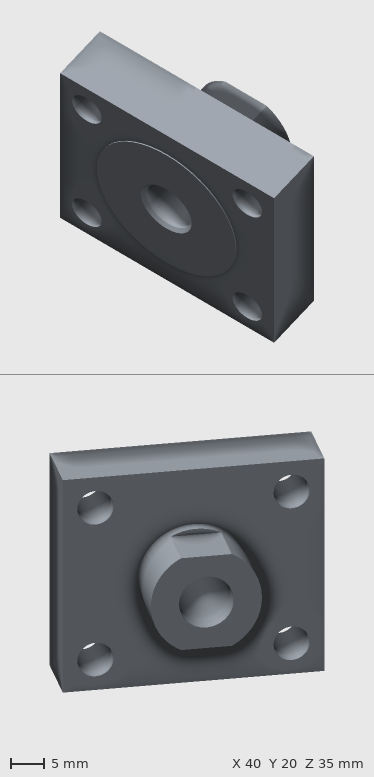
import cadquery as cq

flange_width = 40.0
flange_height = 35.0
flange_thickness = 10.0

seat_diameter = 26.0
seat_height = 0.2

overall_depth = 20.0
stub_diameter = 17.0
stub_length = overall_depth - flange_thickness - seat_height
across_flats = 15.1
flat_length = 8.0

bore_diameter = 8.35
bore_chamfer = 0.55
mount_hole_diameter = 5.5
mount_spacing_x = 30.0
mount_spacing_z = 25.0


def cylinder_along_y(diameter, start_y, length):
    """Cylinder on the part axis, running toward +Y from start_y."""
    axis_start = cq.Vector(0, start_y, 0)
    return cq.Workplane(cq.Solid.makeCylinder(diameter / 2, length, axis_start, cq.Vector(0, 1, 0)))


def make_flange():
    """Plate with its front face on Y = 0 and four mounting holes."""
    plate = cq.Workplane("XY").box(
        flange_width, flange_thickness, flange_height, centered=(True, False, True)
    )
    return (
        plate.faces("<Y")
        .workplane(centerOption="CenterOfBoundBox")
        .rarray(mount_spacing_x, mount_spacing_z, 2, 2)
        .hole(mount_hole_diameter)
    )


def make_stub():
    """Round stub whose free end is trimmed to flats at top and bottom."""
    collar_length = stub_length - flat_length
    collar = cylinder_along_y(stub_diameter, flange_thickness, collar_length)
    flats_start = flange_thickness + collar_length
    flats_envelope = (
        cq.Workplane("XY")
        .box(stub_diameter, flat_length, across_flats, centered=(True, False, True))
        .translate((0, flats_start, 0))
    )
    flatted_end = cylinder_along_y(stub_diameter, flats_start, flat_length).intersect(flats_envelope)
    return collar.union(flatted_end)


def make_bore():
    """Through bore with a 45 degree chamfer at its front mouth."""
    bore = cylinder_along_y(bore_diameter, -seat_height, overall_depth)
    bore_radius = bore_diameter / 2
    mouth = cq.Solid.makeCone(
        bore_radius + bore_chamfer,
        bore_radius,
        bore_chamfer,
        cq.Vector(0, -seat_height, 0),
        cq.Vector(0, 1, 0),
    )
    return bore.union(cq.Workplane(mouth))


seat = cylinder_along_y(seat_diameter, -seat_height, seat_height)
result = make_flange().union(seat).union(make_stub()).cut(make_bore())